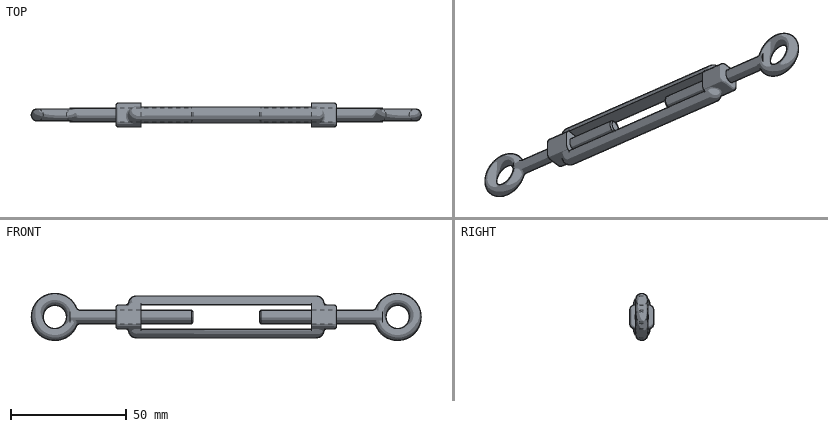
import cadquery as cq


total_length = 169.2
half_length = total_length / 2

ring_outer_diameter = 20.5
ring_wire_diameter = 5.2
bolt_diameter = 6.0
bolt_tip_x = 14.4
bolt_tip_chamfer = 0.7
shank_start_x = 67.7
neck_fillet = 1.7
ring_radius = (ring_outer_diameter - ring_wire_diameter) / 2
ring_center_x = half_length - ring_outer_diameter / 2

block_width = 10.5
block_outer_x = 47.9
block_inner_x = 36.9
block_corner_radius = 2.4
block_end_fillet = 1.2

rail_radius = 3.5
rail_top_z = 9.1
rail_end_x = 39.0
rail_foot_fillet = 1.2
rail_center_z = rail_top_z - rail_radius

pick_margin = 0.2


def make_outer_region(inner_x):
    """Large box that holds everything on the -X side of x = -inner_x."""
    return cq.Workplane("XY", origin=(-inner_x - half_length, 0, 0)).box(
        total_length, total_length, total_length
    )


def make_ring():
    """Eye ring of the -X bolt."""
    return (
        cq.Workplane("XY", origin=(-ring_center_x, 0, 0))
        .center(-ring_radius, 0)
        .circle(ring_wire_diameter / 2)
        .revolve(360, (ring_radius, 0), (ring_radius, 1))
    )


def make_eye_bolt():
    """Eye bolt on the -X side, pointing towards +X."""
    shank = (
        cq.Workplane("YZ", origin=(-ring_center_x, 0, 0))
        .circle(bolt_diameter / 2)
        .extrude(ring_center_x - bolt_tip_x)
        .faces(">X")
        .chamfer(bolt_tip_chamfer)
    )
    ring_region = make_outer_region(shank_start_x)
    neck = shank.union(make_ring()).cut(ring_region)

    neck_curves = cq.selectors.BoxSelector(
        (-shank_start_x + pick_margin, -bolt_diameter / 2, -bolt_diameter / 2),
        (-half_length + ring_outer_diameter, bolt_diameter / 2, bolt_diameter / 2),
    )
    neck = neck.edges("%BSPLINE").edges(neck_curves).fillet(neck_fillet)
    return neck.union(make_ring().intersect(ring_region), clean=False)


def make_block():
    """Rounded square end block on the -X side, without its bore."""
    return (
        cq.Workplane("YZ", origin=(-block_outer_x, 0, 0))
        .rect(block_width, block_width)
        .extrude(block_outer_x - block_inner_x)
        .edges("|X")
        .fillet(block_corner_radius)
        .faces("<X")
        .edges()
        .fillet(block_end_fillet)
    )


def make_rail():
    """Upper rail: full round bar with ball ends."""
    rail = (
        cq.Workplane("YZ", origin=(-rail_end_x, 0, rail_center_z))
        .circle(rail_radius)
        .extrude(2 * rail_end_x)
    )
    for ball_x in (-rail_end_x, rail_end_x):
        ball = cq.Workplane("XY", origin=(ball_x, 0, rail_center_z)).sphere(rail_radius)
        rail = rail.union(ball)
    return rail


def make_frame_end():
    """End block on the -X side with both rail ends blended into it."""
    upper = make_block().union(make_rail()).intersect(make_outer_region(block_inner_x))

    block_top_z = block_width / 2
    foot_edges = cq.selectors.BoxSelector(
        (-rail_end_x - rail_radius, -rail_radius, block_top_z - pick_margin),
        (-rail_end_x - pick_margin, rail_radius, block_top_z + pick_margin),
    )
    upper = upper.edges(foot_edges).fillet(rail_foot_fillet)
    return upper.union(upper.mirror("XY"))


def make_open_rail():
    """Upper rail between the blocks, cut flat level with the block top."""
    span = 2 * block_inner_x
    between_blocks = cq.Workplane("XY").box(span, total_length, total_length)
    window = cq.Workplane("XY").box(span, block_width, block_width)
    return make_rail().intersect(between_blocks).cut(window)


def make_frame():
    """Two end blocks joined by two rails, bored along X for the bolts."""
    end = make_frame_end()
    rail = make_open_rail()
    body = end.union(end.mirror("YZ")).union(rail).union(rail.mirror("XY"))
    bore = (
        cq.Workplane("YZ", origin=(-half_length, 0, 0))
        .circle(bolt_diameter / 2)
        .extrude(total_length)
    )
    return body.cut(bore)


def make_eye_bolts():
    """Eye bolts of the -X and +X ends, in that order."""
    bolt = make_eye_bolt()
    return [bolt, bolt.mirror("YZ")]


frame = make_frame()
eye_bolts = make_eye_bolts()

result = cq.Compound.makeCompound([frame.val(), *[bolt.val() for bolt in eye_bolts]])